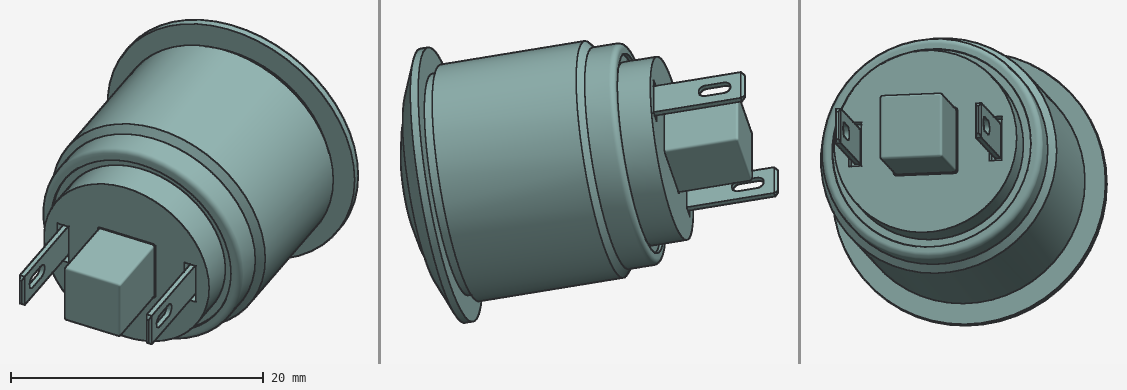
import cadquery as cq

total_length = 28.85

dome_edge_y = 27.28
flange_top_y = 25.93
flange_bottom_y = 25.3
neck_bottom_y = 24.5
body_chamfer_y = 12.8
body_bottom_y = 12.25
collar_bottom_y = 9.8
base_y = 7.3
block_end_y = 1.33

flange_radius = 22.0 / 2
body_radius = 19.0 / 2
collar_radius = 17.8 / 2
rim_radius = 16.0 / 2
dome_radius = 14.9 / 2
base_radius = 14.7 / 2
collar_fillet = 0.45
recess_depth = 0.3

block_width = 5.0
block_height = 5.15
block_fillet = 0.2
block_gap = 0.1
block_seat_depth = 0.12

terminal_offset = 5.65
terminal_thickness = 0.43
terminal_width = 2.8
tip_length = 0.3
tip_thickness = 0.17
tip_width = terminal_width - 2 * tip_length
seat_width = 1.0
seat_height = 3.55
seat_depth = 1.0
eyelet_center_y = 2.42
eyelet_length = 2.6
eyelet_width = 1.12


def section_at(y):
    """Workplane at the given Y station, facing +Y."""
    return cq.Workplane(cq.Plane(origin=(0, y, 0), xDir=(1, 0, 0), normal=(0, 1, 0)))


def make_housing():
    """Cap, flange, body, collar and base turned about the Y axis."""
    rise = total_length - dome_edge_y
    sphere_radius = (dome_radius**2 + rise**2) / (2 * rise)
    mid_x = dome_radius / 2
    mid_y = total_length - sphere_radius + (sphere_radius**2 - mid_x**2) ** 0.5
    recess_y = collar_bottom_y + recess_depth
    profile = (
        cq.Workplane("XY")
        .moveTo(0, base_y)
        .lineTo(base_radius, base_y)
        .lineTo(base_radius, recess_y)
        .lineTo(rim_radius, recess_y)
        .lineTo(rim_radius, collar_bottom_y)
        .lineTo(collar_radius - collar_fillet, collar_bottom_y)
        .radiusArc((collar_radius, collar_bottom_y + collar_fillet), -collar_fillet)
        .lineTo(collar_radius, body_bottom_y)
        .lineTo(body_radius, body_chamfer_y)
        .lineTo(body_radius, neck_bottom_y)
        .lineTo(collar_radius, neck_bottom_y)
        .lineTo(collar_radius, flange_bottom_y)
        .lineTo(flange_radius, flange_bottom_y)
        .lineTo(flange_radius, flange_top_y)
        .lineTo(rim_radius, dome_edge_y)
        .lineTo(dome_radius, dome_edge_y)
        .threePointArc((mid_x, mid_y), (0, total_length))
        .close()
    )
    return profile.revolve(360, (0, 0, 0), (0, 1, 0))


def make_block_prism(margin, start_y, end_y):
    """Upright block with rounded long edges, enlarged all round by margin."""
    return (
        section_at(start_y)
        .rect(block_width + 2 * margin, block_height + 2 * margin)
        .extrude(end_y - start_y)
        .edges("|Y")
        .fillet(block_fillet + margin)
    )


def make_terminal(x):
    """Flat blade with a tapered tip and an eyelet through its thickness."""
    root_y = base_y + seat_depth
    blade = section_at(tip_length).center(x, 0).rect(terminal_thickness, terminal_width)
    blade = blade.extrude(root_y - tip_length)
    tip = (
        section_at(0)
        .center(x, 0)
        .rect(tip_thickness, tip_width)
        .workplane(offset=tip_length)
        .rect(terminal_thickness, terminal_width)
        .loft(ruled=True)
    )
    eyelet = (
        cq.Workplane("YZ", origin=(x, eyelet_center_y, 0))
        .slot2D(eyelet_length, eyelet_width)
        .extrude(terminal_thickness, both=True)
    )
    return blade.union(tip).cut(eyelet)


result = make_housing()

block_root_y = base_y + block_seat_depth
result = result.cut(make_block_prism(block_gap, base_y, block_root_y))
block = make_block_prism(0, block_end_y, block_root_y)
block = block.faces("<Y or >Y").edges().fillet(block_fillet)
result = result.union(block)

for terminal_x in (-terminal_offset, terminal_offset):
    seat = section_at(base_y).center(terminal_x, 0).rect(seat_width, seat_height).extrude(seat_depth)
    result = result.cut(seat).union(make_terminal(terminal_x))